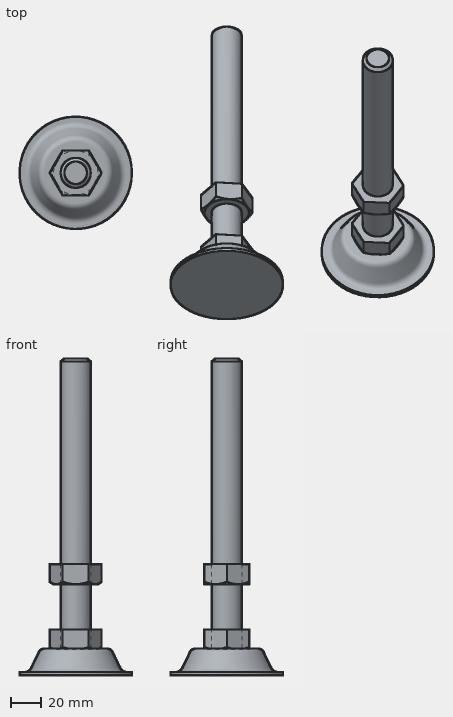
import cadquery as cq
import math


flange_diameter = 75.0
flange_height = 2.3
foot_height = 18.0
cone_base_radius = 31.0
cone_top_radius = 23.5
cone_fillet = 4.5

overall_height = 211.0
rod_diameter = 20.0
rod_chamfer_width = 2.5
rod_chamfer_height = 2.1

nut_across_flats = 30.0
nut_height = 13.5
nut_chamfer_height = 1.7
nut_seat_radius = 14.8
foot_nut_sink = 0.8
nut_spacing = 43.5

nut_corner_diameter = nut_across_flats / math.cos(math.pi / 6)
nut_corner_radius = nut_corner_diameter / 2
lower_nut_z = foot_height - foot_nut_sink
nut_levels = [lower_nut_z, lower_nut_z + nut_spacing]


def nut_blank(base_z):
    """Hexagon with corners on the X axis and a conical chamfer below."""
    hexagon = (
        cq.Workplane("XY")
        .polygon(6, nut_corner_diameter)
        .extrude(nut_height)
    )
    chamfer_envelope = (
        cq.Workplane("XZ")
        .moveTo(0, 0)
        .lineTo(nut_seat_radius, 0)
        .lineTo(nut_corner_radius, nut_chamfer_height)
        .lineTo(nut_corner_radius, nut_height)
        .lineTo(0, nut_height)
        .close()
        .revolve(360, (0, 0, 0), (0, 1, 0))
    )
    return hexagon.intersect(chamfer_envelope).translate((0, 0, base_z))


def make_nut(base_z):
    """Nut bored to fit the rod."""
    bore = (
        cq.Workplane("XY")
        .workplane(offset=base_z)
        .circle(rod_diameter / 2)
        .extrude(nut_height)
    )
    return nut_blank(base_z).cut(bore)


def make_rod():
    """Rod from the floor of the foot recess to the chamfered top end."""
    rod_radius = rod_diameter / 2
    return (
        cq.Workplane("XZ")
        .moveTo(0, lower_nut_z)
        .lineTo(rod_radius, lower_nut_z)
        .lineTo(rod_radius, overall_height - rod_chamfer_height)
        .lineTo(rod_radius - rod_chamfer_width, overall_height)
        .lineTo(0, overall_height)
        .close()
        .revolve(360, (0, 0, 0), (0, 1, 0))
    )


def make_foot():
    """Flanged cone with rounded top and base, recessed for the lower nut."""
    flange = cq.Workplane("XY").circle(flange_diameter / 2).extrude(flange_height)
    cone = (
        cq.Workplane("XY")
        .workplane(offset=flange_height)
        .circle(cone_base_radius)
        .workplane(offset=foot_height - flange_height)
        .circle(cone_top_radius)
        .loft()
    )
    foot = flange.union(cone)
    foot = foot.faces(">Z").edges().fillet(cone_fillet)
    cone_base_edge = cq.selectors.RadiusNthSelector(-2)
    foot = foot.edges("%CIRCLE").edges(cone_base_edge).fillet(cone_fillet)
    return foot.cut(nut_blank(lower_nut_z))


foot = make_foot()
rod = make_rod()
nuts = [make_nut(level) for level in nut_levels]

result = cq.Compound.makeCompound([foot.val(), rod.val(), *[nut.val() for nut in nuts]])